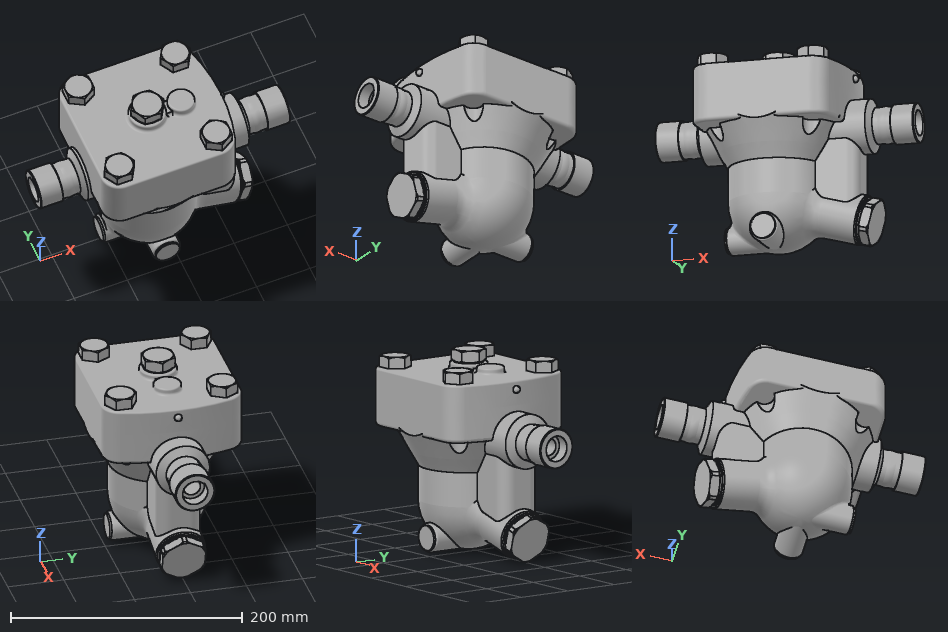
import cadquery as cq
import math


body_radius = 44.0
dome_z = -62.5
neck_z = -32.0
seam_z = -19.0
seam_radius = 51.7
cone_top_radius = 62.7

left_x = -62.5
half_depth = 62.5
right_x = 68.5
bow_radius = 175.5
corner_radius = 17.5
flange_bottom = 0.2
parting_z = 29.5
cover_top = 51.7
flange_rounding = 3.5
cover_rounding = 2.3

bolt_pitch = 45.5
bolt_flats = 24.0
bolt_height = 10.0
head_chamfer_angle = 30.0
scallop_radius = 9.0

main_boss_top = 58.0
side_boss_top = 58.5
boss_rounding = 1.9
boss_blend = 3.0
main_boss_radius = 33.0 / 2
side_boss_radius = 24.0 / 2
side_boss_x = 31.5
web_half_width = 6.3
top_plug_flats = 26.5
top_plug_bottom = 58.7
top_plug_top = 69.3
top_plug_neck_radius = 26.0 / 2

pin_radius = 3.3
pin_z = 43.5
pin_end_x = 72.0
pin_end_rounding = 3.0

port_left_x = -107.0
port_right_x = 127.0
port_end_radius = 17.5
port_end_length = 20.8
port_neck_radius = 32.0 / 2
weld_radius = 16.5
weld_start = 25.5
weld_end = 32.8
port_cone_start = 37.7
port_cone_end = 41.7
port_boss_radius = 48.0 / 2
port_chamfer = 0.7
socket_radius = 22.2 / 2
socket_depth = 11.0
bore_radius = 15.0 / 2
bore_depth = 32.8

post_z = -92.5
post_radius = 26.0 / 2
post_shoulder = 44.0
post_end = 45.9
post_end_radius = 22.2 / 2
post_rounding = post_radius - post_end_radius
post_blend = 3.5

branch_tilt = 15.0
branch_radius = 22.0
branch_blend = 16.4
branch_end = 80.7
branch_chamfer = 1.2
branch_neck_radius = 19.0
branch_hex_start = 82.8
branch_hex_end = 92.0
branch_hex_flats = 38.4
branch_hex_turned_radius = 42.4 / 2

rib_end_x = 77.2
rib_half_width = 20.0
rib_corner_radius = 11.7
rib_bottom = -77.2

QUARTER_ROUND_INSET = 1 - math.sqrt(0.5)


def cylinder_x(radius, x_start, x_end, z=0):
    return cq.Workplane("YZ", origin=(x_start, 0, z)).circle(radius).extrude(x_end - x_start)


def hexagon(flats, height, chamfer_bottom=False):
    """Hexagon head standing on Z = 0 with two corners along X and its corner tips chamfered."""
    tip_radius = flats / math.sqrt(3)
    drop = (tip_radius - flats / 2) * math.tan(math.radians(head_chamfer_angle))
    bottom = [(flats / 2, 0), (tip_radius, drop)] if chamfer_bottom else [(tip_radius, 0)]
    envelope = (
        cq.Workplane("XZ")
        .polyline([(0, 0), *bottom, (tip_radius, height - drop), (flats / 2, height), (0, height)])
        .close()
        .revolve(360, (0, 0), (0, 1))
    )
    return cq.Workplane("XY").polygon(6, 2 * tip_radius).extrude(height).intersect(envelope)


def flange_slab(z_bottom, z_top):
    """Slab with rounded corners, flat on three sides and bowed outward on the right."""
    block = cq.Workplane("XY", origin=(left_x, 0, z_bottom)).box(
        right_x - left_x, 2 * half_depth, z_top - z_bottom, (False, True, False)
    )
    bow = cq.Workplane("XY", origin=(right_x - bow_radius, 0, z_bottom)).circle(bow_radius)
    return block.intersect(bow.extrude(z_top - z_bottom)).edges("|Z").fillet(corner_radius)


def make_flange():
    return flange_slab(flange_bottom, parting_z).faces("<Z").edges().fillet(flange_rounding)


def make_cover():
    return flange_slab(parting_z, cover_top).faces(">Z").edges().fillet(cover_rounding)


def make_post():
    """Post along -X with a rounded shoulder and a smaller end disc."""
    inset = QUARTER_ROUND_INSET * post_rounding
    return (
        cq.Workplane("XZ", origin=(0, 0, post_z))
        .lineTo(0, post_radius)
        .lineTo(-post_shoulder + post_rounding, post_radius)
        .threePointArc((-post_shoulder + inset, post_radius - inset), (-post_shoulder, post_end_radius))
        .lineTo(-post_end, post_end_radius)
        .lineTo(-post_end, 0)
        .close()
        .revolve(360, (0, 0), (1, 0))
    )


def make_turned_shell():
    """Cone, cylinder and hemispherical dome, turned about Z."""
    cone_top = flange_bottom + flange_rounding
    top_slope = (cone_top_radius - seam_radius) / (flange_bottom - seam_z)
    dome_middle = body_radius * math.sqrt(0.5)
    return (
        cq.Workplane("XZ")
        .moveTo(0, cone_top)
        .lineTo(cone_top_radius + top_slope * flange_rounding, cone_top)
        .lineTo(seam_radius, seam_z)
        .lineTo(body_radius, neck_z)
        .lineTo(body_radius, dome_z)
        .threePointArc((dome_middle, dome_z - dome_middle), (0, dome_z - body_radius))
        .close()
        .revolve(360, (0, 0), (0, 1))
    )


def add_posts(shell):
    """Plain post on the front; the left post blends into the dome up to its own shoulder."""
    bar_end = -2 * body_radius
    shoulder_start = -post_shoulder + post_rounding
    blended = (
        shell.union(cylinder_x(post_radius, 0, bar_end, post_z))
        .edges("%BSPLINE")
        .fillet(post_blend)
        .cut(cylinder_x(post_radius + post_blend, shoulder_start, bar_end, post_z))
    )
    front_post = make_post().rotate((0, 0, 0), (0, 0, 1), 90)
    return blended.union(make_post()).union(front_post)


def make_shell():
    """Shell with its posts, clipped to the flange outline and relieved below the bolts."""
    shell = add_posts(make_turned_shell())
    shell = shell.intersect(flange_slab(dome_z - body_radius, flange_bottom + flange_rounding))
    scallops = (
        cq.Workplane("XY", origin=(0, 0, neck_z))
        .rect(2 * bolt_pitch, 2 * bolt_pitch, forConstruction=True)
        .vertices()
        .circle(scallop_radius)
        .extrude(flange_bottom - neck_z)
    )
    return shell.cut(scallops)


def round_boss(x, radius, top):
    """Boss with a rounded rim and a hollow blend at its foot, rooted inside the cover."""
    foot = radius + boss_blend
    blend_inset = QUARTER_ROUND_INSET * boss_blend
    rim_inset = QUARTER_ROUND_INSET * boss_rounding
    return (
        cq.Workplane("XZ", origin=(x, 0, 0))
        .moveTo(0, parting_z)
        .lineTo(foot, parting_z)
        .lineTo(foot, cover_top)
        .threePointArc((radius + blend_inset, cover_top + blend_inset), (radius, cover_top + boss_blend))
        .lineTo(radius, top - boss_rounding)
        .threePointArc((radius - rim_inset, top - rim_inset), (radius - boss_rounding, top))
        .lineTo(0, top)
        .close()
        .revolve(360, (0, 0), (0, 1))
    )


def make_web():
    """Low web between the two bosses, with the same hollow blend along both sides."""
    foot = web_half_width + boss_blend
    inset = QUARTER_ROUND_INSET * boss_blend
    half_web = (
        cq.Workplane("YZ")
        .moveTo(0, parting_z)
        .lineTo(foot, parting_z)
        .lineTo(foot, cover_top)
        .threePointArc(
            (web_half_width + inset, cover_top + inset), (web_half_width, cover_top + boss_blend)
        )
        .lineTo(0, cover_top + boss_blend)
        .close()
        .extrude(side_boss_x)
    )
    return half_web.union(half_web.mirror("XZ"))


def make_bosses():
    main_boss = round_boss(0, main_boss_radius, main_boss_top)
    side_boss = round_boss(side_boss_x, side_boss_radius, side_boss_top)
    return main_boss.union(side_boss).union(make_web())


def make_top_plug():
    neck = (
        cq.Workplane("XY", origin=(0, 0, cover_top))
        .circle(top_plug_neck_radius)
        .extrude(top_plug_bottom - cover_top)
    )
    head = hexagon(top_plug_flats, top_plug_top - top_plug_bottom, chamfer_bottom=True)
    return neck.union(head.translate((0, 0, top_plug_bottom)))


def make_bolts():
    """Corner bolts; one diagonal pair is turned by a right angle."""
    bolts = cq.Workplane("XY")
    for x_side in (-1, 1):
        for y_side in (-1, 1):
            turn = 0 if x_side == y_side else 90
            bolts = bolts.add(
                hexagon(bolt_flats, bolt_height)
                .rotate((0, 0, 0), (0, 0, 1), turn)
                .translate((x_side * bolt_pitch, y_side * bolt_pitch, cover_top))
                .val()
            )
    return bolts.combine()


def make_pin():
    pin = cylinder_x(pin_radius, right_x - corner_radius, pin_end_x, pin_z)
    return pin.faces(">X").edges().fillet(pin_end_rounding)


def make_port(end_x, direction):
    """Stepped port along X, from its end face to the body axis."""
    profile = [
        (0, 0),
        (0, port_end_radius - port_chamfer),
        (port_chamfer, port_end_radius),
        (port_end_length, port_end_radius),
        (port_end_length, port_neck_radius),
        (weld_start, port_neck_radius),
    ]
    points = [(end_x + direction * along, radius) for along, radius in profile]
    weld_middle = (end_x + direction * (weld_start + weld_end) / 2, weld_radius)
    return (
        cq.Workplane("XZ")
        .polyline(points)
        .threePointArc(weld_middle, (end_x + direction * weld_end, port_neck_radius))
        .lineTo(end_x + direction * port_cone_start, port_neck_radius)
        .lineTo(end_x + direction * port_cone_end, port_boss_radius)
        .lineTo(0, port_boss_radius)
        .lineTo(0, 0)
        .close()
        .revolve(360, (0, 0), (1, 0))
    )


def make_port_bore(end_x, direction):
    socket = cylinder_x(socket_radius, end_x, end_x + direction * socket_depth)
    bore = cylinder_x(bore_radius, end_x, end_x + direction * bore_depth)
    return socket.union(bore)


def make_branch_pipe():
    """Pipe along X from the dome centre, blended onto the dome and ending in a plug neck."""
    centre_x = math.sqrt((body_radius + branch_blend) ** 2 - (branch_radius + branch_blend) ** 2)
    centre_z = branch_radius + branch_blend
    to_dome = math.atan2(centre_x, centre_z)
    return (
        cq.Workplane("XZ")
        .lineTo(body_radius * math.sin(to_dome), body_radius * math.cos(to_dome))
        .threePointArc(
            (
                centre_x - branch_blend * math.sin(to_dome / 2),
                centre_z - branch_blend * math.cos(to_dome / 2),
            ),
            (centre_x, branch_radius),
        )
        .lineTo(branch_end - branch_chamfer, branch_radius)
        .lineTo(branch_end, branch_radius - branch_chamfer)
        .lineTo(branch_end, branch_neck_radius)
        .lineTo(branch_hex_start, branch_neck_radius)
        .lineTo(branch_hex_start, 0)
        .close()
        .revolve(360, (0, 0), (1, 0))
    )


def make_branch():
    """Inclined pipe with a hexagon plug whose corners are turned down to a cylinder."""
    length = branch_hex_end - branch_hex_start
    turned = cq.Workplane("XY").circle(branch_hex_turned_radius).extrude(length)
    turned = turned.edges().chamfer(branch_chamfer)
    plug = cq.Workplane("XY").polygon(6, 2 * branch_hex_flats / math.sqrt(3)).extrude(length)
    plug = plug.intersect(turned).rotate((0, 0, 0), (0, 1, 0), 90).translate((branch_hex_start, 0, 0))
    branch = make_branch_pipe().union(plug)
    return branch.rotate((0, 0, 0), (0, 1, 0), branch_tilt).translate((0, 0, dome_z))


def make_rib():
    return (
        cq.Workplane("XY", origin=(0, 0, rib_bottom))
        .box(rib_end_x, 2 * rib_half_width, -rib_bottom, (False, True, False))
        .edges("|Z and >X")
        .fillet(rib_corner_radius)
    )


result = make_shell().union(make_flange())
features = (
    make_branch(),
    make_rib(),
    make_port(port_left_x, 1),
    make_port(port_right_x, -1),
    make_cover(),
    make_bosses(),
    make_top_plug(),
    make_bolts(),
    make_pin(),
)
for feature in features:
    result = result.union(feature, clean=False)
for end_x, direction in ((port_left_x, 1), (port_right_x, -1)):
    result = result.cut(make_port_bore(end_x, direction), clean=False)